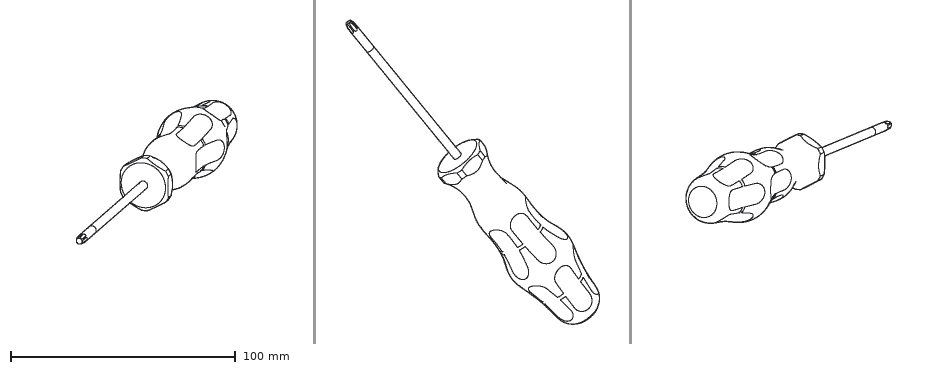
import cadquery as cq
import math


HANDLE_LENGTH = 98.0
BUTT_FLAT_RADIUS = 11.4 / 2
BUTT_ROUND_RADIUS = 14.2 / 2
BUTT_ROUND_HEIGHT = 0.9
BUTT_ROUND_BULGE = 0.2

BELLY_RADIUS = 31.65 / 2
BELLY_Y = 63.15
WAIST_RADIUS = 8.65
WAIST_Y = 17.6
HANDLE_STATIONS = [
    (BUTT_ROUND_RADIUS, HANDLE_LENGTH - BUTT_ROUND_HEIGHT),
    (8.9, 95.7),
    (10.4, 93.2),
    (11.0, 90.5),
    (11.4, 86.0),
    (12.1, 80.5),
    (13.2, 75.0),
    (14.75, 68.9),
    (BELLY_RADIUS, BELLY_Y),
    (14.75, 57.2),
    (13.2, 52.7),
    (12.25, 48.0),
    (11.9, 42.0),
    (12.15, 34.0),
    (11.65, 29.8),
    (10.7, 27.0),
    (9.5, 23.6),
    (WAIST_RADIUS, WAIST_Y),
    (9.5, 11.3),
    (10.9, 7.7),
]

SIDES = 6
COLLAR_RADIUS = 12.4
COLLAR_BACK_Y = 5.1
COLLAR_FRONT_Y = 1.4
FRONT_FACE_RADIUS = 10.5
COLLAR_FLAT_DISTANCE = 11.35

GRIP_DEPTH = 1.0
PAD_WIDTH = 9.5
UPPER_PAD_ENDS = (66.6, 92.4)
UPPER_BAND_EDGES = (78.4, 80.2)
LOWER_PAD_ENDS = (34.8, 61.8)
LOWER_BAND_EDGES = (47.7, 49.2)

SHAFT_RADIUS = 4.0 / 2
TIP_END_Y = HANDLE_LENGTH - 181.15
TIP_BODY_LENGTH = 16.6
TIP_START_Y = TIP_END_Y + TIP_BODY_LENGTH
LOBE_RADIUS = 3.86 / 2
LOBE_TAPER_START_Y = TIP_END_Y + 3.95
LOBE_START_Y = TIP_END_Y + 2.9
LOBE_CHAMFER_Y = TIP_END_Y + 1.8
TIP_FACE_RADIUS = 1.4
FLUTE_RADIUS = 0.8
FLUTE_ROOT_RADIUS = 2.77 / 2
FLUTE_RUNOUT_Y = TIP_END_Y + 4.9

REACH = 2 * BELLY_RADIUS


def around_axis(shape):
    """Copies of a shape, one for each of the six sides around the Y axis."""
    step = 360 / SIDES
    return [shape.rotate((0, 0, 0), (0, 1, 0), side * step) for side in range(SIDES)]


def rod(radius, start_y, end_y):
    """A round bar on the Y axis."""
    return cq.Workplane("XZ", origin=(0, start_y, 0)).circle(radius).extrude(start_y - end_y)


def revolve_about_y(outline):
    return outline.close().revolve(360, (0, 0, 0), (0, 1, 0))


def handle_blank():
    """The full handle shape, before the grips are let into it."""
    outline = (
        cq.Workplane("XY")
        .moveTo(0, HANDLE_LENGTH)
        .lineTo(BUTT_FLAT_RADIUS, HANDLE_LENGTH)
        .threePointArc(
            (
                (BUTT_FLAT_RADIUS + BUTT_ROUND_RADIUS) / 2,
                HANDLE_LENGTH - BUTT_ROUND_HEIGHT / 2 + BUTT_ROUND_BULGE,
            ),
            HANDLE_STATIONS[0],
        )
        .spline(HANDLE_STATIONS[1:] + [(COLLAR_RADIUS, COLLAR_BACK_Y)], includeCurrent=True)
        .lineTo(COLLAR_RADIUS, COLLAR_FRONT_Y)
        .lineTo(FRONT_FACE_RADIUS, 0)
        .lineTo(0, 0)
    )
    blank = revolve_about_y(outline)
    corner_diameter = 2 * COLLAR_FLAT_DISTANCE / math.cos(math.pi / SIDES)
    six_sided_bar = (
        cq.Workplane("XZ")
        .polygon(SIDES, corner_diameter)
        .extrude(-WAIST_Y)
        .rotate((0, 0, 0), (0, 1, 0), 180 / SIDES)
    )
    return blank.cut(rod(REACH, 0, WAIST_Y).cut(six_sided_bar))


def grip_floor():
    """The core that the grips sit on: the handle's outline moved inward by the grip depth."""
    floor_stations = [(radius - GRIP_DEPTH, y) for radius, y in HANDLE_STATIONS]
    outline = (
        cq.Workplane("XY")
        .moveTo(0, floor_stations[0][1])
        .lineTo(*floor_stations[0])
        .spline(floor_stations[1:], includeCurrent=True)
        .lineTo(0, floor_stations[-1][1])
    )
    return revolve_about_y(outline)


def grip(blank, pad_ends, band_edges):
    """One soft grip: round-ended pads on the six sides, joined by a band around the handle."""
    low, high = pad_ends
    pad = (
        cq.Workplane("YZ")
        .center((low + high) / 2, 0)
        .slot2D(high - low, PAD_WIDTH)
        .extrude(REACH)
    )
    footprint = rod(REACH, *band_edges)
    for side_pad in around_axis(pad):
        footprint = footprint.union(side_pad)
    return blank.intersect(footprint.cut(grip_floor()))


def tip_body():
    """The front of the blade: a round bar that steps down to six lobes."""
    outline = (
        cq.Workplane("XY")
        .moveTo(0, TIP_START_Y)
        .lineTo(SHAFT_RADIUS, TIP_START_Y)
        .lineTo(SHAFT_RADIUS, LOBE_TAPER_START_Y)
        .lineTo(LOBE_RADIUS, LOBE_START_Y)
        .lineTo(LOBE_RADIUS, LOBE_CHAMFER_Y)
        .lineTo(TIP_FACE_RADIUS, TIP_END_Y)
        .lineTo(0, TIP_END_Y)
    )
    body = revolve_about_y(outline)
    ball_y = FLUTE_RUNOUT_Y - FLUTE_RADIUS
    flute = rod(FLUTE_RADIUS, ball_y, TIP_END_Y - FLUTE_RADIUS)
    flute = flute.union(cq.Workplane("XY").sphere(FLUTE_RADIUS).translate((0, ball_y, 0)))
    flute = flute.translate((FLUTE_ROOT_RADIUS + FLUTE_RADIUS, 0, 0))
    for side_flute in around_axis(flute):
        body = body.cut(side_flute)
    return body


blank = handle_blank()
upper_grip = grip(blank, UPPER_PAD_ENDS, UPPER_BAND_EDGES)
lower_grip = grip(blank, LOWER_PAD_ENDS, LOWER_BAND_EDGES)
handle = blank.cut(upper_grip).cut(lower_grip)
shaft = rod(SHAFT_RADIUS, 0, TIP_START_Y)
tip = tip_body()

result = cq.Compound.makeCompound(
    [body.solids().val() for body in (handle, upper_grip, lower_grip, shaft, tip)]
)